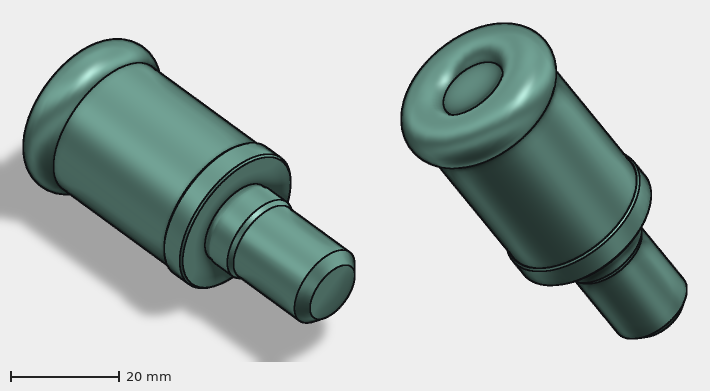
import cadquery as cq

TOTAL_LENGTH = 68.0

RING_DIAMETER = 31.95
RING_TUBE_RADIUS = 4.95
RING_CENTER_X = RING_TUBE_RADIUS

FRONT_FACE_X = 3.0
BARREL_DIAMETER = 28.0
BARREL_END = 38.0
FLANGE_DIAMETER = 29.0
FLANGE_THICKNESS = 4.9
FLANGE_CHAMFER = 0.4
NECK_DIAMETER = 16.6
NECK_LENGTH = 0.6
NECK_TAPER_LENGTH = 0.75
COLLAR_DIAMETER = 17.0
COLLAR_LENGTH = 4.7
COLLAR_TAPER_LENGTH = 1.0
SHAFT_DIAMETER = 15.8
SHAFT_CHAMFER = 2.05

X_AXIS = ((0, 0, 0), (1, 0, 0))


def make_ring():
    """Torus made by turning the tube's circular section around the X axis."""
    tube_center_radius = RING_DIAMETER / 2 - RING_TUBE_RADIUS
    section = cq.Workplane("XY").center(RING_CENTER_X, tube_center_radius).circle(RING_TUBE_RADIUS)
    axis_start = (0, -tube_center_radius, 0)
    axis_end = (1, -tube_center_radius, 0)
    return section.revolve(360, axis_start, axis_end)


def make_plunger(ring):
    """Stepped turned body with a groove that seats the ring."""
    barrel_radius = BARREL_DIAMETER / 2
    flange_radius = FLANGE_DIAMETER / 2
    neck_radius = NECK_DIAMETER / 2
    collar_radius = COLLAR_DIAMETER / 2
    shaft_radius = SHAFT_DIAMETER / 2

    flange_end = BARREL_END + FLANGE_THICKNESS
    neck_end = flange_end + NECK_LENGTH
    collar_start = neck_end + NECK_TAPER_LENGTH
    collar_end = collar_start + COLLAR_LENGTH
    shaft_start = collar_end + COLLAR_TAPER_LENGTH

    turned_body = (
        cq.Workplane("XY")
        .moveTo(FRONT_FACE_X, 0)
        .lineTo(FRONT_FACE_X, barrel_radius)
        .lineTo(BARREL_END, barrel_radius)
        .lineTo(BARREL_END, flange_radius - FLANGE_CHAMFER)
        .lineTo(BARREL_END + FLANGE_CHAMFER, flange_radius)
        .lineTo(flange_end - FLANGE_CHAMFER, flange_radius)
        .lineTo(flange_end, flange_radius - FLANGE_CHAMFER)
        .lineTo(flange_end, neck_radius)
        .lineTo(neck_end, neck_radius)
        .lineTo(collar_start, collar_radius)
        .lineTo(collar_end, collar_radius)
        .lineTo(shaft_start, shaft_radius)
        .lineTo(TOTAL_LENGTH - SHAFT_CHAMFER, shaft_radius)
        .lineTo(TOTAL_LENGTH, shaft_radius - SHAFT_CHAMFER)
        .lineTo(TOTAL_LENGTH, 0)
        .close()
        .revolve(360, *X_AXIS)
    )
    return turned_body.cut(ring)


ring = make_ring()
plunger = make_plunger(ring)

result = cq.Compound.makeCompound([ring.val(), *plunger.solids().vals()])